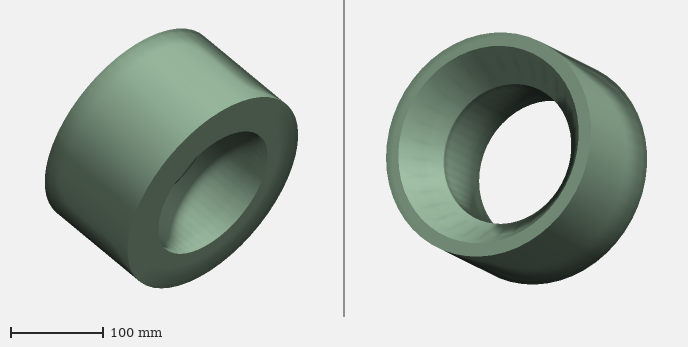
import cadquery as cq

length = 134.0
outer_diameter = 250.0
mouth_diameter = 220.0
neck_diameter = 156.0
socket_diameter = 160.0
socket_depth = 87.0
neck_length = 2.0
taper_length = length - socket_depth - neck_length


def turned_profile():
    """Half section in the XY plane, with X along the axis and Y as the radius."""
    neck_end = taper_length + neck_length
    return (
        cq.Workplane("XY")
        .moveTo(0, outer_diameter / 2)
        .lineTo(0, mouth_diameter / 2)
        .lineTo(taper_length, neck_diameter / 2)
        .lineTo(neck_end, neck_diameter / 2)
        .lineTo(neck_end, socket_diameter / 2)
        .lineTo(length, socket_diameter / 2)
        .lineTo(length, outer_diameter / 2)
        .close()
    )


result = turned_profile().revolve(360, (0, 0, 0), (1, 0, 0))